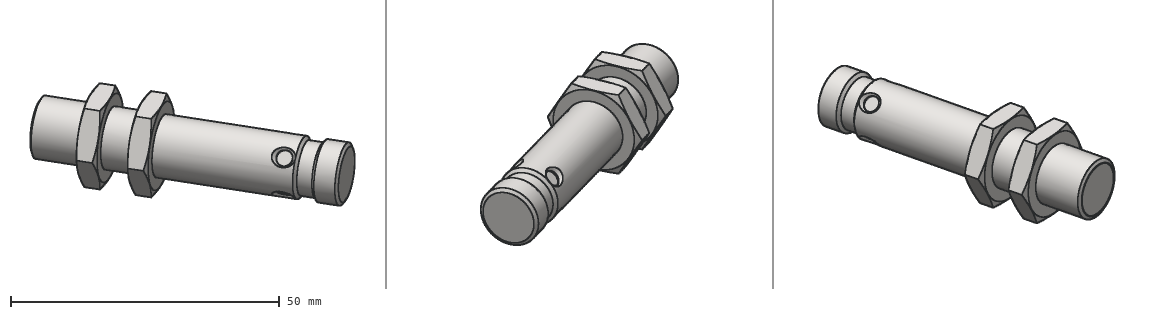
import cadquery as cq
import math

LENGTH = 60
BARREL_D = 12
FRONT_FACE_D = 10.55
FRONT_CHAMFER = 0.4
SENSING_FACE_D = 10.3
SENSING_FACE_RECESS = 0.1
REAR_FACE_D = 10.55
REAR_CHAMFER = 0.5

GROOVE_D = 10.55
GROOVE_START = 51.3
GROOVE_END = 55.45
GROOVE_SLOPE = 0.6

NUT_FLATS = 17.0
NUT_WIDTH = 4.0
NUT_STARTS = (9.95, 19.9)
NUT_FACE_D = 16.8
NUT_CHAMFER_ANGLE = 20

WINDOW_COUNT = 4
WINDOW_X = 49.0
WINDOW_D = 3.1
WINDOW_FLOOR = 5.0
COUNTERSINK_BASE = 5.3
COUNTERSINK_TOP = BARREL_D / 2 + 0.6


def make_barrel():
    """Revolve the barrel profile, with its recessed sensing face and neck groove, about X."""
    radius = BARREL_D / 2
    groove_radius = GROOVE_D / 2
    profile = [
        (SENSING_FACE_RECESS, 0),
        (SENSING_FACE_RECESS, SENSING_FACE_D / 2),
        (0, SENSING_FACE_D / 2),
        (0, FRONT_FACE_D / 2),
        (FRONT_CHAMFER, radius),
        (GROOVE_START, radius),
        (GROOVE_START + GROOVE_SLOPE, groove_radius),
        (GROOVE_END - GROOVE_SLOPE, groove_radius),
        (GROOVE_END, radius),
        (LENGTH - REAR_CHAMFER, radius),
        (LENGTH, REAR_FACE_D / 2),
        (LENGTH, 0),
    ]
    return cq.Workplane("XY").polyline(profile).close().revolve(360, (0, 0), (1, 0))


def make_nut(start):
    """Hexagon nut with corners on the Y axis and both faces chamfered by a cone."""
    corner_radius = NUT_FLATS / math.sqrt(3)
    face_radius = NUT_FACE_D / 2
    chamfer = (corner_radius - face_radius) * math.tan(math.radians(NUT_CHAMFER_ANGLE))
    hexagon = cq.Workplane("YZ").polygon(6, 2 * corner_radius).extrude(NUT_WIDTH)
    envelope_profile = [
        (0, 0),
        (0, face_radius),
        (chamfer, corner_radius),
        (NUT_WIDTH - chamfer, corner_radius),
        (NUT_WIDTH, face_radius),
        (NUT_WIDTH, 0),
    ]
    envelope = cq.Workplane("XY").polyline(envelope_profile).close().revolve(360, (0, 0), (1, 0))
    return hexagon.intersect(envelope).translate((start, 0, 0))


def make_window_cutter(angle):
    """Flat-bottomed hole with a 45 degree countersink, turned about the barrel axis."""
    hole_radius = WINDOW_D / 2
    top_radius = hole_radius + COUNTERSINK_TOP - COUNTERSINK_BASE
    profile = [
        (0, WINDOW_FLOOR),
        (hole_radius, WINDOW_FLOOR),
        (hole_radius, COUNTERSINK_BASE),
        (top_radius, COUNTERSINK_TOP),
        (0, COUNTERSINK_TOP),
    ]
    cutter = cq.Workplane("XZ").polyline(profile).close().revolve(360, (0, 0), (0, 1))
    return cutter.translate((WINDOW_X, 0, 0)).rotate((0, 0, 0), (1, 0, 0), angle)


result = make_barrel()
for nut_start in NUT_STARTS:
    result = result.union(make_nut(nut_start))

window_spacing = 360 / WINDOW_COUNT
for index in range(WINDOW_COUNT):
    result = result.cut(make_window_cutter((index + 0.5) * window_spacing))